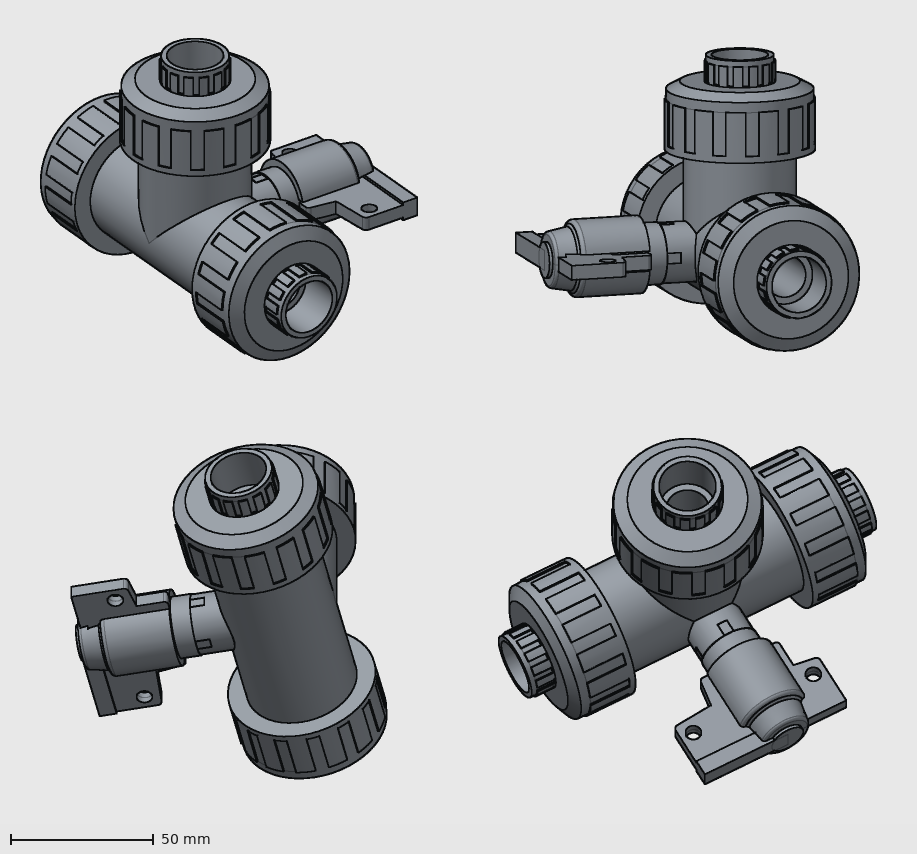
import cadquery as cq
import math

end_reach = 69.2
body_dia = 39.7
bore_dia = 15.0
socket_dia = 20.0
socket_depth = 16.0

nut_dia = 52.0
nut_grip_dia = 53.0
nut_face_dia = 42.2
nut_start = 35.6
nut_recess_start = 38.0
nut_rib_end = 53.6
nut_chamfer_start = 57.2
nut_face = 59.8

tail_dia = 24.0
tail_rib_dia = 25.0
tail_recess_start = 60.2
tail_rib_end = 67.2

recess_count = 14
recess_pitch = 360 / recess_count
recess_angle = 0.4 * recess_pitch
first_recess_angle = -90.0

stem_dia = 22.0
stem_end = 50.0
groove_dia = 21.5
groove_start = 16.6
keyway_start = 24.9
groove_end = 30.0
key_width = 3.7
key_flat_radius = 10.4

sleeve_offset = 0.5
sleeve_dia = 26.5
sleeve_radius = sleeve_dia / 2
sleeve_start = 37.1
sleeve_round_start = 60.7
sleeve_round_mid = (12.9, 61.6)
sleeve_round_end = (11.8, 62.2)
nose_base_radius = 10.8
nose_base = 63.0
nose_shoulder_radius = 9.5
nose_shoulder = 69.7
nose_round_mid = (9.1, 70.5)
nose_end_radius = 8.5
nose_end = 70.8
slot_half_height = 3.6
slot_end = 67.0
cap_dia = 12.7

plate_thickness = 5.1
plate_left = -24.9
plate_right = 33.2
plate_left_end = 69.7
plate_end = 72.0
ear_outer_edge = 49.6
ear_inner_edge = 48.2
ear_corner_radius = 1.7
web_left = -15.7
web_right_wide = 17.5
web_right_narrow = 15.8
web_corner_radius = 1.4
rim_start = 65.9
rim_thickness = 2 * slot_half_height
hole_dia = 5.5
hole_inset = 5.0
hole_y = 54.8

cut_margin = 1.4


def rod_z(diameter, start, end):
    """Cylinder on the Z axis between two heights."""
    return cq.Workplane("XY").workplane(offset=start).circle(diameter / 2).extrude(end - start)


def rod_y(diameter, start, end):
    """Cylinder on the Y axis between two distances."""
    return rod_z(diameter, start, end).rotate((0, 0, 0), (1, 0, 0), -90)


def grip_recesses(inner_dia, outer_dia, start, end):
    """Ring of shallow recesses around the Z axis."""
    reach = outer_dia / 2 + cut_margin
    half_angle = math.radians(recess_angle / 2)
    wedge = (
        cq.Workplane("XY")
        .workplane(offset=start)
        .polyline([
            (0, 0),
            (reach * math.cos(half_angle), -reach * math.sin(half_angle)),
            (reach * math.cos(half_angle), reach * math.sin(half_angle)),
        ])
        .close()
        .extrude(end - start)
        .cut(rod_z(inner_dia, start, end))
    )
    recesses = cq.Workplane("XY")
    for index in range(recess_count):
        angle = first_recess_angle + recess_angle / 2 + index * recess_pitch
        recesses = recesses.add(wedge.rotate((0, 0, 0), (0, 0, 1), angle))
    return recesses.combine()


def make_nut():
    """Union nut along +Z with a recessed grip band and a chamfered face."""
    grip = rod_z(nut_grip_dia, nut_start, nut_rib_end)
    grip = grip.cut(grip_recesses(nut_dia, nut_grip_dia, nut_recess_start, nut_rib_end))
    chamfer_width = (nut_dia - nut_face_dia) / 2
    collar = rod_z(nut_dia, nut_start, nut_face)
    collar = collar.faces(">Z").chamfer(nut_face - nut_chamfer_start, chamfer_width)
    return collar.union(grip)


def make_tail():
    """Pipe tail along +Z with a recessed rib band next to the nut."""
    ribs = rod_z(tail_rib_dia, nut_start, tail_rib_end)
    ribs = ribs.cut(grip_recesses(tail_dia, tail_rib_dia, tail_recess_start, tail_rib_end))
    return rod_z(tail_dia, nut_start, end_reach).union(ribs)


def make_port():
    """One leg of the tee along +Z, from the origin to the pipe end."""
    return rod_z(body_dia, 0, nut_start).union(make_nut()).union(make_tail())


def make_port_bore():
    """Bore of one +Z leg, widened to a pipe socket at its end."""
    return rod_z(bore_dia, 0, end_reach).union(
        rod_z(socket_dia, end_reach - socket_depth, end_reach)
    )


def on_three_ports(leg):
    """Repeat a +Z leg on the -X, +Z and +X ports."""
    legs = leg
    for angle in (-90, 90):
        legs = legs.union(leg.rotate((0, 0, 0), (0, 1, 0), angle))
    return legs


def make_stem():
    """Stem with a shallow neck groove and four flat-bottomed keyways."""
    keyway_length = groove_end - keyway_start
    stem = rod_y(stem_dia, 0, stem_end)
    groove = rod_y(stem_dia + cut_margin, groove_start, groove_end)
    stem = stem.cut(groove.cut(rod_y(groove_dia, groove_start, groove_end)))
    keyway = cq.Workplane("XY").box(key_width, keyway_length, stem_dia, centered=(True, False, False))
    keyway = keyway.translate((0, keyway_start, key_flat_radius))
    for angle in (0, 90, 180, 270):
        stem = stem.cut(keyway.rotate((0, 0, 0), (0, 1, 0), angle))
    return stem


def make_half_sleeve():
    """Upper half sleeve with its tapered nose, kept above the plate by the slot."""
    sleeve = (
        cq.Workplane("XY")
        .moveTo(0, sleeve_start)
        .lineTo(sleeve_radius, sleeve_start)
        .lineTo(sleeve_radius, sleeve_round_start)
        .threePointArc(sleeve_round_mid, sleeve_round_end)
        .lineTo(nose_base_radius, nose_base)
        .lineTo(nose_shoulder_radius, nose_shoulder)
        .threePointArc(nose_round_mid, (nose_end_radius, nose_end))
        .lineTo(0, nose_end)
        .close()
        .revolve(360, (0, 0, 0), (0, 1, 0))
        .translate((0, 0, sleeve_offset))
    )
    width = 4 * sleeve_radius
    lower_half = cq.Workplane("XY").box(width, 2 * plate_end, width, centered=(True, True, False))
    lower_half = lower_half.translate((0, 0, -width))
    slot = cq.Workplane("XY").box(width, slot_end, slot_half_height, centered=(True, False, False))
    return sleeve.cut(lower_half).cut(slot)


def make_plate():
    """Eared plate with two screw holes and a thicker rim at its far right edge."""
    outline = [
        (plate_left, plate_left_end),
        (plate_left, ear_outer_edge),
        (web_left, ear_inner_edge),
        (web_left, sleeve_start),
        (web_right_narrow, sleeve_start),
        (web_right_wide, ear_inner_edge),
        (plate_right, ear_outer_edge),
        (plate_right, plate_end),
        (0, plate_end),
        (0, plate_left_end),
    ]
    hole_places = [(plate_left + hole_inset, hole_y), (plate_right - hole_inset, hole_y)]
    plate = cq.Workplane("XY").polyline(outline).close().extrude(plate_thickness / 2, both=True)
    for x in (plate_left, plate_right):
        corner = cq.selectors.NearestToPointSelector((x, ear_outer_edge, 0))
        plate = plate.edges("|Z").edges(corner).fillet(ear_corner_radius)
    for x in (web_left, web_right_narrow):
        corner = cq.selectors.NearestToPointSelector((x, sleeve_start, 0))
        plate = plate.edges("|Z").edges(corner).fillet(web_corner_radius)
    rim = cq.Workplane("XY").box(
        plate_right, plate_end - rim_start, rim_thickness, centered=(False, False, True)
    )
    holes = (
        cq.Workplane("XY")
        .pushPoints(hole_places)
        .circle(hole_dia / 2)
        .extrude(plate_thickness, both=True)
    )
    return plate.union(rim.translate((0, rim_start, 0))).cut(holes)


def make_mount():
    """Plate held between two mirrored half sleeves, closed by an end cap."""
    half_sleeve = make_half_sleeve()
    cap = rod_y(cap_dia, nose_shoulder, plate_end)
    return make_plate().union(half_sleeve).union(half_sleeve.mirror("XY")).union(cap)


tee = on_three_ports(make_port())
result = tee.union(make_stem()).union(make_mount()).cut(on_three_ports(make_port_bore()))